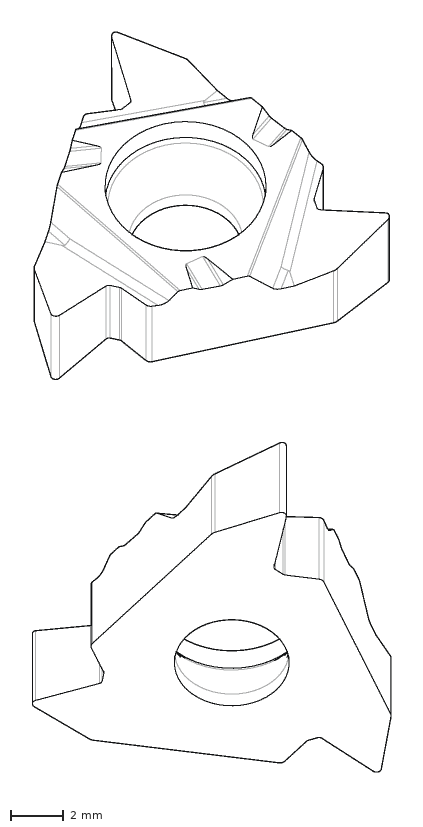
import cadquery as cq
import math

TEETH = 3
HEIGHT = 4.19
REACH = 10.98

SIDE_DISTANCE = 4.76
TIP_X = -3.27
TIP_DEPTH = 7.21
TIP_RADIUS = 0.19
FLANK_ANGLE = math.radians(61.3)
GULLET_Y = -4.75
GULLET_END_X = -1.29
GULLET_RADIUS = 0.16
HEEL_RADIUS = 0.25
FLANK_RADIUS = 0.35

RAKE_TIP_HEIGHT = 4.06
RAKE_SLOPE = 0.277
RAKE_FLOOR = 2.91
WALL_START_Y = -1.24
WALL_TURN = -32.2
WALL_ANGLE = 54.6
WALL_HALF_RUN = 2.88
WALL_ROOT_RADIUS = 0.35
WALL_TOP_RADIUS = 0.1

HOLE_DIAMETER = 4.4
BORE_DIAMETER = 6.16
BORE_DEPTH = 1.02
SEAT_TOP_RADIUS = 2.98
SEAT_TOP_DEPTH = 1.24
SEAT_BOTTOM_DEPTH = 3.51

NOTCH_INNER = (-3.5, 0.58)
NOTCH_TURN = 14.5
NOTCH_RAMP = 10.5
NOTCH_WIDTH = 0.82
NOTCH_FLARE = 1.5
NOTCH_HEIGHT = 0.55
NOTCH_LENGTH = 3.43
NOTCH_ROOT_RADIUS = 0.2


def turned(point, angle):
    """Turn a plan point about the axis, angle in degrees."""
    x, y = point
    a = math.radians(angle)
    return (x * math.cos(a) - y * math.sin(a), x * math.sin(a) + y * math.cos(a))


def around_axis(shape):
    """Copies of a cutter, one for each tooth."""
    return [shape.rotate((0, 0, 0), (0, 0, 1), i * 360 / TEETH) for i in range(TEETH)]


def make_blank():
    """Extruded plan outline with its vertical corners rounded."""
    slope = math.tan(FLANK_ANGLE)
    apex_y = -TIP_DEPTH + TIP_RADIUS * (1 - 1 / math.cos(FLANK_ANGLE))
    shoulder = (-SIDE_DISTANCE, apex_y + slope * (TIP_X + SIDE_DISTANCE))
    gullet_start = (TIP_X + (GULLET_Y - apex_y) / slope, GULLET_Y)
    gullet_end = (GULLET_END_X, GULLET_Y)
    tan30 = math.tan(math.pi / 6)
    heel_line_y = GULLET_Y + tan30 * GULLET_END_X
    heel_x = heel_line_y * math.cos(math.pi / 6) + SIDE_DISTANCE
    heel = (heel_x, heel_line_y - tan30 * heel_x)
    corners = [
        (shoulder, FLANK_RADIUS),
        ((TIP_X, apex_y), TIP_RADIUS),
        (gullet_start, GULLET_RADIUS),
        (gullet_end, GULLET_RADIUS),
        (heel, HEEL_RADIUS),
    ]
    outline = [turned(p, i * 360 / TEETH) for i in range(TEETH) for p, _ in corners]
    blank = cq.Workplane("XY").polyline(outline).close().extrude(HEIGHT)
    for corner, radius in corners:
        for i in range(TEETH):
            x, y = turned(corner, i * 360 / TEETH)
            edge = cq.selectors.NearestToPointSelector((x, y, HEIGHT / 2))
            blank = blank.edges("|Z").edges(edge).fillet(radius)
    return blank


def make_rake_cutter():
    """Space above one rake face and in front of its chip-breaker wall."""
    floor_y = -TIP_DEPTH + (RAKE_TIP_HEIGHT - RAKE_FLOOR) / RAKE_SLOPE
    outer_height = RAKE_TIP_HEIGHT + RAKE_SLOPE * (REACH - TIP_DEPTH)
    profile = [
        (-REACH, outer_height),
        (floor_y, RAKE_FLOOR),
        (REACH, RAKE_FLOOR),
        (REACH, 2 * HEIGHT),
        (-REACH, 2 * HEIGHT),
    ]
    above_rake = cq.Workplane("YZ").polyline(profile).close().extrude(REACH, both=True)
    before_wall = (
        cq.Workplane("XY")
        .box(4 * REACH, 2 * REACH, 4 * REACH)
        .translate((0, -REACH, 0))
        .rotate((0, 0, 0), (1, 0, 0), WALL_ANGLE - 90)
        .rotate((0, 0, 0), (0, 0, 1), WALL_TURN)
        .translate((-SIDE_DISTANCE, WALL_START_Y, HEIGHT))
    )
    cutter = above_rake.intersect(before_wall)
    tilt = math.radians(WALL_ANGLE)
    facing = turned((0, math.sin(tilt)), WALL_TURN)
    wall = cq.selectors.ParallelDirSelector(cq.Vector(*facing, -math.cos(tilt)))
    below_top = cq.selectors.BoxSelector((-REACH + 0.14, -REACH, 0), (REACH - 0.14, REACH, HEIGHT + RAKE_FLOOR))
    return cutter.faces(wall).edges(below_top).fillet(WALL_ROOT_RADIUS)


def make_hole_cutter():
    """Screw hole, straight upper bore and a convex seat tangent to the hole."""
    hole_radius = HOLE_DIAMETER / 2
    bore_radius = BORE_DIAMETER / 2
    seat_top = HEIGHT - SEAT_TOP_DEPTH
    seat_bottom = HEIGHT - SEAT_BOTTOM_DEPTH
    return (
        cq.Workplane("XZ")
        .lineTo(hole_radius, 0)
        .lineTo(hole_radius, seat_bottom)
        .tangentArcPoint((SEAT_TOP_RADIUS, seat_top), relative=False)
        .lineTo(bore_radius, HEIGHT - BORE_DEPTH)
        .lineTo(bore_radius, HEIGHT)
        .lineTo(0, HEIGHT)
        .close()
        .revolve(360, (0, 0, 0), (0, 1, 0))
    )


def make_notch_cutter():
    """Flared channel whose floor ramps down toward the flat side."""
    half_width = NOTCH_WIDTH / 2
    half_top = half_width + NOTCH_FLARE * NOTCH_HEIGHT
    section = [
        (-half_width, 0),
        (half_width, 0),
        (half_top, NOTCH_HEIGHT),
        (-half_top, NOTCH_HEIGHT),
    ]
    return (
        cq.Workplane("YZ")
        .polyline(section)
        .close()
        .extrude(-NOTCH_LENGTH)
        .edges("|X and <Z")
        .fillet(NOTCH_ROOT_RADIUS)
        .rotate((0, 0, 0), (0, 1, 0), -NOTCH_RAMP)
        .rotate((0, 0, 0), (0, 0, 1), NOTCH_TURN)
        .translate((*NOTCH_INNER, HEIGHT))
    )


result = make_blank()
for cutter in around_axis(make_rake_cutter()):
    result = result.cut(cutter)

for i in range(TEETH):
    middle = (
        -SIDE_DISTANCE + WALL_HALF_RUN,
        WALL_START_Y + WALL_HALF_RUN * math.tan(math.radians(WALL_TURN)),
    )
    nearest = cq.selectors.NearestToPointSelector((*turned(middle, i * 360 / TEETH), HEIGHT))
    result = result.edges(nearest).fillet(WALL_TOP_RADIUS)

result = result.cut(make_hole_cutter())
for cutter in around_axis(make_notch_cutter()):
    result = result.cut(cutter)